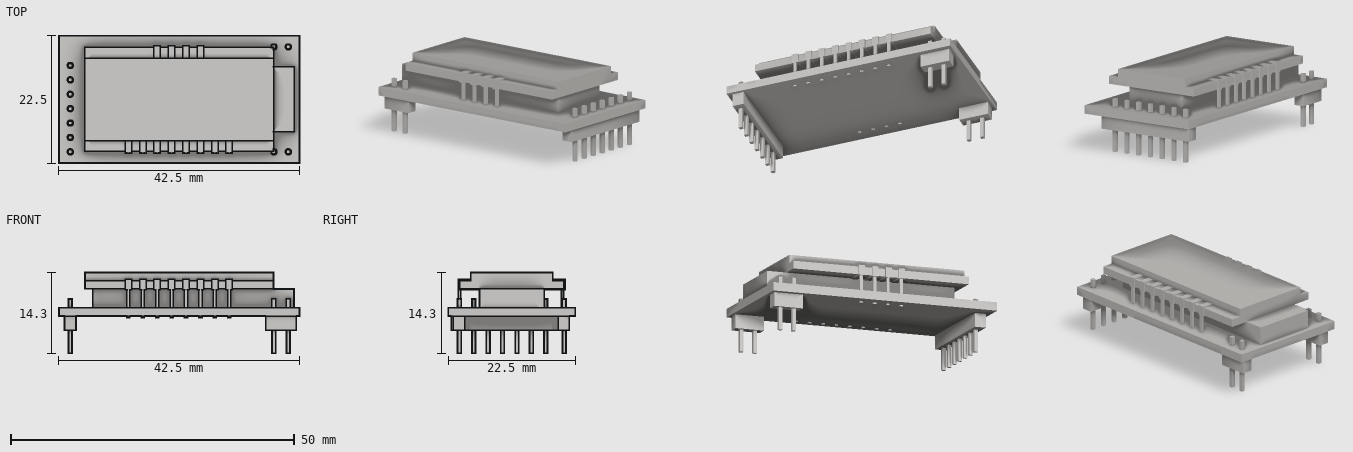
import cadquery as cq


BOARD_LENGTH = 42.5
BOARD_WIDTH = 22.5
BOARD_THICKNESS = 1.55
PIN_HOLE_DIAMETER = 1.0

PIN_SIZE = 0.7
PIN_ROW_REACH = 9.25
PIN_PROTRUSION = 1.55
PIN_TAIL = 4.05
HEADER_HEIGHT = 2.5

LEFT_PIN_COUNT = 7
LEFT_PIN_SPAN = 15.25
PIN_PITCH = LEFT_PIN_SPAN / (LEFT_PIN_COUNT - 1)
LEFT_PIN_X = -19.25
LEFT_BLOCK_WIDTH = 2.1
LEFT_BLOCK_Y = (-10.7, 8.25)

CORNER_PIN_COUNT = 2
CORNER_PIN_X = 16.7
CORNER_BLOCK_OVERHANG = 1.45
CORNER_BLOCK_WIDTH = 2.0
CORNER_BLOCK_SHIFT = -0.1

BACKLIGHT_X = (-15.3, 20.27)
BACKLIGHT_WIDTH = 11.48
BACKLIGHT_HEIGHT = 3.3
GLASS_LENGTH = 33.3
LOWER_GLASS_WIDTH = 18.4
LOWER_GLASS_THICKNESS = 1.4
UPPER_GLASS_WIDTH = 14.55
BORDER_LENGTH = 30.6
BORDER_WIDTH = 11.48
BORDER_RADIUS = 1.0
ACTIVE_LENGTH = 23.38
ACTIVE_WIDTH = 7.9
INLAY_DEPTH = 0.42

FRONT_CLIP_COUNT = 8
REAR_CLIP_COUNT = 4
CLIP_ROW_X = -0.1
CLIP_WIDTH = 1.15
CLIP_WALL = 0.275
CLIP_LIP = 0.13
LEG_WIDTH = 0.55
LEG_DEPTH = 0.45
LEG_PROTRUSION = 0.25
CLIP_INNER_Y = BACKLIGHT_WIDTH / 2
CLIP_OUTER_Y = LOWER_GLASS_WIDTH / 2 + CLIP_WALL
FRONT_LEG_Y = (-CLIP_OUTER_Y, -CLIP_OUTER_Y + LEG_DEPTH)
REAR_LEG_Y = (LOWER_GLASS_WIDTH / 2 - LEG_DEPTH, LOWER_GLASS_WIDTH / 2)

OVERALL_HEIGHT = 14.3
PIN_BOTTOM = -HEADER_HEIGHT - PIN_TAIL
PIN_TOP = BOARD_THICKNESS + PIN_PROTRUSION
GLASS_BOTTOM = BOARD_THICKNESS + BACKLIGHT_HEIGHT
STEP_LEVEL = GLASS_BOTTOM + LOWER_GLASS_THICKNESS
DISPLAY_TOP = PIN_BOTTOM + OVERALL_HEIGHT

LEFT_PINS = [
    (LEFT_PIN_X, -PIN_ROW_REACH + i * PIN_PITCH) for i in range(LEFT_PIN_COUNT)
]
CORNER_ROWS = [
    [(CORNER_PIN_X + i * PIN_PITCH, row_y) for i in range(CORNER_PIN_COUNT)]
    for row_y in (-PIN_ROW_REACH, PIN_ROW_REACH)
]


def block(x_range, y_range, z_range):
    """Axis-aligned box between the given limits."""
    return cq.Workplane("XY").box(
        x_range[1] - x_range[0],
        y_range[1] - y_range[0],
        z_range[1] - z_range[0],
        centered=False,
    ).translate((x_range[0], y_range[0], z_range[0]))


def around(centre, size):
    """Limits of a span of the given size about its centre."""
    return (centre - size / 2, centre + size / 2)


def clip_positions(count):
    """X positions of a row of clips."""
    return [CLIP_ROW_X + (i - (count - 1) / 2) * PIN_PITCH for i in range(count)]


def make_legs():
    """All display legs, from inside the clips to just below the board."""
    legs = cq.Workplane("XY")
    for count, leg_y in ((FRONT_CLIP_COUNT, FRONT_LEG_Y), (REAR_CLIP_COUNT, REAR_LEG_Y)):
        for x in clip_positions(count):
            legs = legs.add(block(around(x, LEG_WIDTH), leg_y, (-LEG_PROTRUSION, GLASS_BOTTOM)))
    return legs.combine()


def make_clips():
    """Clips that wrap the long edges of the lower glass."""
    clip_z = (GLASS_BOTTOM - CLIP_LIP, STEP_LEVEL + CLIP_WALL)
    front_y = (-CLIP_OUTER_Y, -CLIP_INNER_Y)
    rear_y = (CLIP_INNER_Y, CLIP_OUTER_Y)
    clips = cq.Workplane("XY")
    for count, clip_y in ((FRONT_CLIP_COUNT, front_y), (REAR_CLIP_COUNT, rear_y)):
        for x in clip_positions(count):
            clips = clips.add(block(around(x, CLIP_WIDTH), clip_y, clip_z))
    return clips.combine()


def imprint(body, outline):
    """Body with a flush inlay fused back into its top, so that only the outline remains as a line."""
    return body.cut(outline, clean=False).union(outline, clean=False)


def make_board():
    """Board with a clearance hole for every header pin."""
    board = block(around(0, BOARD_LENGTH), around(0, BOARD_WIDTH), (0, BOARD_THICKNESS))
    holes = (
        cq.Workplane("XY")
        .pushPoints(LEFT_PINS + CORNER_ROWS[0] + CORNER_ROWS[1])
        .circle(PIN_HOLE_DIAMETER / 2)
        .extrude(BOARD_THICKNESS)
    )
    return board.cut(holes)


def make_display():
    """Backlight, two glass layers, clips and legs."""
    backlight = block(BACKLIGHT_X, around(0, BACKLIGHT_WIDTH), (BOARD_THICKNESS, GLASS_BOTTOM))
    glass_x = around(0, GLASS_LENGTH)
    lower_glass = block(glass_x, around(0, LOWER_GLASS_WIDTH), (GLASS_BOTTOM, STEP_LEVEL))
    upper_glass = block(glass_x, around(0, UPPER_GLASS_WIDTH), (STEP_LEVEL, DISPLAY_TOP))
    return backlight.union(lower_glass).union(upper_glass).union(make_clips()).union(make_legs())


def make_module():
    """Board and display as one solid, with the border and active area outlined on its top face."""
    inlay_base = cq.Workplane("XY").workplane(offset=DISPLAY_TOP - INLAY_DEPTH)
    border = inlay_base.rect(BORDER_LENGTH, BORDER_WIDTH).extrude(INLAY_DEPTH)
    active = inlay_base.rect(ACTIVE_LENGTH, ACTIVE_WIDTH).extrude(INLAY_DEPTH)
    plain_module = make_board().union(make_display())
    return imprint(imprint(plain_module, border.edges("|Z").fillet(BORDER_RADIUS)), active)


def make_header(x_range, y_range, pin_points):
    """Header block under the board with square pins through it."""
    pins = (
        cq.Workplane("XY")
        .workplane(offset=PIN_BOTTOM)
        .pushPoints(pin_points)
        .rect(PIN_SIZE, PIN_SIZE)
        .extrude(PIN_TOP - PIN_BOTTOM)
    )
    return block(x_range, y_range, (-HEADER_HEIGHT, 0)).union(pins)


def make_left_header():
    """Seven-pin header along the left edge."""
    return make_header(around(LEFT_PIN_X, LEFT_BLOCK_WIDTH), LEFT_BLOCK_Y, LEFT_PINS)


def make_corner_header(pin_row):
    """Two-pin header in one of the right-hand corners."""
    first_x, row_y = pin_row[0]
    last_x = pin_row[-1][0]
    return make_header(
        (first_x - CORNER_BLOCK_OVERHANG, last_x + CORNER_BLOCK_OVERHANG),
        around(row_y + CORNER_BLOCK_SHIFT, CORNER_BLOCK_WIDTH),
        pin_row,
    )


module = make_module()
left_header = make_left_header()
corner_headers = [make_corner_header(row) for row in CORNER_ROWS]

result = cq.Compound.makeCompound(
    [module.val(), left_header.val(), *[header.val() for header in corner_headers]]
)